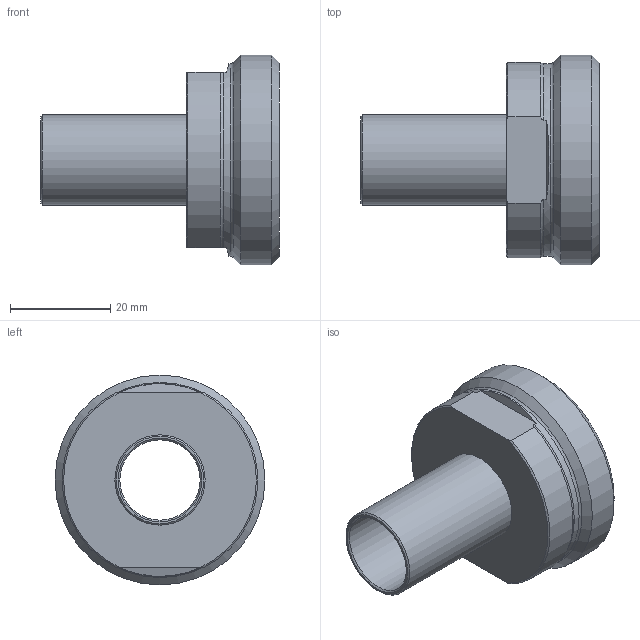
import cadquery as cq
import math

TOTAL_LENGTH = 47.5
TUBE_LENGTH = 29.0
TUBE_RADIUS = 18.0 / 2
BORE_RADIUS = 16.0 / 2
HUB_RADIUS = 39.0 / 2
GROOVE_RADIUS = 38.4 / 2
COLLAR_RADIUS = 41.8 / 2

EDGE_CHAMFER = 0.3
COLLAR_CHAMFER = 1.6
HUB_LAND_END = 6.8
COLLAR_START = 10.8
CONE_ANGLE = 45.0
GROOVE_FILLET = 0.8

FLAT_SPACING = 35.0
FLAT_LENGTH = 8.0
FLAT_END_ANGLE = 16.0


def revolve_about_x(profile):
    return profile.close().revolve(360, (0, 0, 0), (1, 0, 0))


def make_turned_body():
    hub_face = TUBE_LENGTH
    land_end = hub_face + HUB_LAND_END
    collar_start = hub_face + COLLAR_START

    groove_depth = HUB_RADIUS - GROOVE_RADIUS
    near_sweep = math.acos(1 - groove_depth / GROOVE_FILLET)
    floor_start = land_end + GROOVE_FILLET * math.sin(near_sweep)
    arc_center_radius = GROOVE_RADIUS + GROOVE_FILLET
    near_mid = (
        floor_start - GROOVE_FILLET * math.sin(near_sweep / 2),
        arc_center_radius - GROOVE_FILLET * math.cos(near_sweep / 2),
    )

    cone_angle = math.radians(CONE_ANGLE)
    cone_start_radius = arc_center_radius - GROOVE_FILLET * math.cos(cone_angle)
    cone_start = collar_start - (COLLAR_RADIUS - cone_start_radius) / math.tan(cone_angle)
    floor_end = cone_start - GROOVE_FILLET * math.sin(cone_angle)
    far_mid = (
        floor_end + GROOVE_FILLET * math.sin(cone_angle / 2),
        arc_center_radius - GROOVE_FILLET * math.cos(cone_angle / 2),
    )

    profile = (
        cq.Workplane("XY")
        .moveTo(EDGE_CHAMFER, BORE_RADIUS)
        .lineTo(0, BORE_RADIUS + EDGE_CHAMFER)
        .lineTo(0, TUBE_RADIUS - EDGE_CHAMFER)
        .lineTo(EDGE_CHAMFER, TUBE_RADIUS)
        .lineTo(hub_face, TUBE_RADIUS)
        .lineTo(hub_face, HUB_RADIUS - EDGE_CHAMFER)
        .lineTo(hub_face + EDGE_CHAMFER, HUB_RADIUS)
        .lineTo(land_end, HUB_RADIUS)
        .threePointArc(near_mid, (floor_start, GROOVE_RADIUS))
        .lineTo(floor_end, GROOVE_RADIUS)
        .threePointArc(far_mid, (cone_start, cone_start_radius))
        .lineTo(collar_start, COLLAR_RADIUS)
        .lineTo(TOTAL_LENGTH - COLLAR_CHAMFER, COLLAR_RADIUS)
        .lineTo(TOTAL_LENGTH, COLLAR_RADIUS - COLLAR_CHAMFER)
        .lineTo(TOTAL_LENGTH, BORE_RADIUS)
    )
    return revolve_about_x(profile)


def make_flat_cutter(side):
    """Material above one wrench flat; side is +1 for the +Z flat, -1 for -Z."""
    flat_height = FLAT_SPACING / 2
    flat_end = TUBE_LENGTH + FLAT_LENGTH
    wall_run = (HUB_RADIUS - flat_height) * math.tan(math.radians(FLAT_END_ANGLE))
    return (
        cq.Workplane("XZ")
        .moveTo(TUBE_LENGTH, side * flat_height)
        .lineTo(flat_end, side * flat_height)
        .lineTo(flat_end + wall_run, side * HUB_RADIUS)
        .lineTo(TUBE_LENGTH, side * HUB_RADIUS)
        .close()
        .extrude(HUB_RADIUS, both=True)
    )


result = make_turned_body()
for side in (1, -1):
    result = result.cut(make_flat_cutter(side))